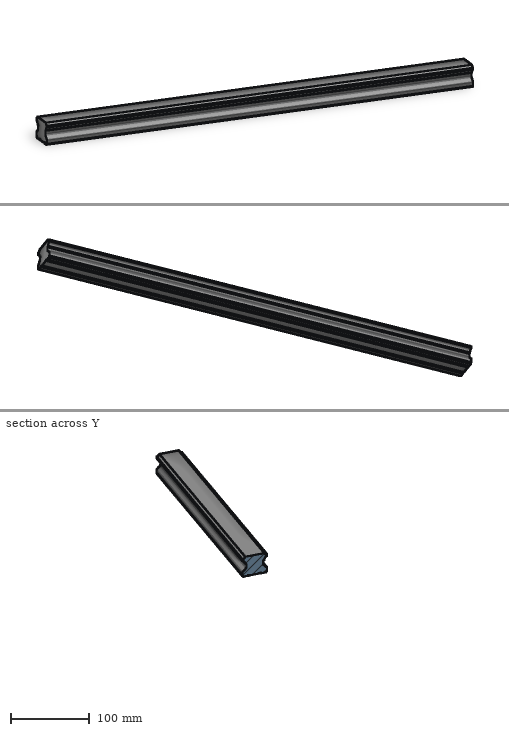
import cadquery as cq
import math

rail_length = 590.0
rail_width = 34.0
rail_height = 29.0

top_width = 26.5
land_top = 26.0
land_bottom = 23.5
upper_track_radius = 4.0
lower_track_radius = 5.6
neck_width = 26.5
track_bottom = 19.0

waist_width = 23.5
waist_top = 17.5
waist_bottom = 12.5
waist_rounding = 2.0

foot_side_top = 7.0
shoulder_rounding = 1.0
foot_bevel = 2.0

groove_inner_x = 6.5
groove_outer_x = 9.0
groove_depth = 0.9
strip_recess = 0.2


def hollow_midpoint(start, end, radius):
    """Middle of the arc from start to end that curves in towards the rail's centre (X = 0)."""
    chord_x = end[0] - start[0]
    chord_z = end[1] - start[1]
    chord = math.hypot(chord_x, chord_z)
    sagitta = radius - math.sqrt(radius**2 - (chord / 2) ** 2)
    middle_x = (start[0] + end[0]) / 2
    middle_z = (start[1] + end[1]) / 2
    return (middle_x - sagitta * chord_z / chord, middle_z + sagitta * chord_x / chord)


def right_half():
    """Right half of the cross-section, extruded over the full length, with its foot on Z = 0."""
    half_width = rail_width / 2
    waist = waist_width / 2
    neck = (neck_width / 2, track_bottom)
    land_start = (half_width, land_bottom)
    land_end = (half_width, land_top)
    top_corner = (top_width / 2, rail_height)
    outline = (
        cq.Workplane("XZ")
        .moveTo(0, strip_recess)
        .lineTo(groove_inner_x, strip_recess)
        .lineTo(groove_inner_x, groove_depth)
        .lineTo(groove_outer_x, groove_depth)
        .lineTo(groove_outer_x, 0)
        .lineTo(half_width - foot_bevel, 0)
        .lineTo(half_width, foot_bevel)
        .lineTo(half_width, foot_side_top)
        .lineTo(waist, waist_bottom)
        .lineTo(waist, waist_top)
        .lineTo(*neck)
        .threePointArc(hollow_midpoint(neck, land_start, lower_track_radius), land_start)
        .lineTo(*land_end)
        .threePointArc(hollow_midpoint(land_end, top_corner, upper_track_radius), top_corner)
        .lineTo(0, rail_height)
        .close()
    )
    return outline.extrude(rail_length / 2, both=True)


def round_long_edge(body, x, z, radius):
    """Round the lengthwise edge that passes through (x, z)."""
    return body.edges(cq.NearestToPointSelector((x, 0, z))).fillet(radius)


half_rail = right_half()
half_rail = round_long_edge(half_rail, waist_width / 2, waist_bottom, waist_rounding)
half_rail = round_long_edge(half_rail, rail_width / 2, foot_side_top, shoulder_rounding)
result = half_rail.union(half_rail.mirror("YZ")).clean()